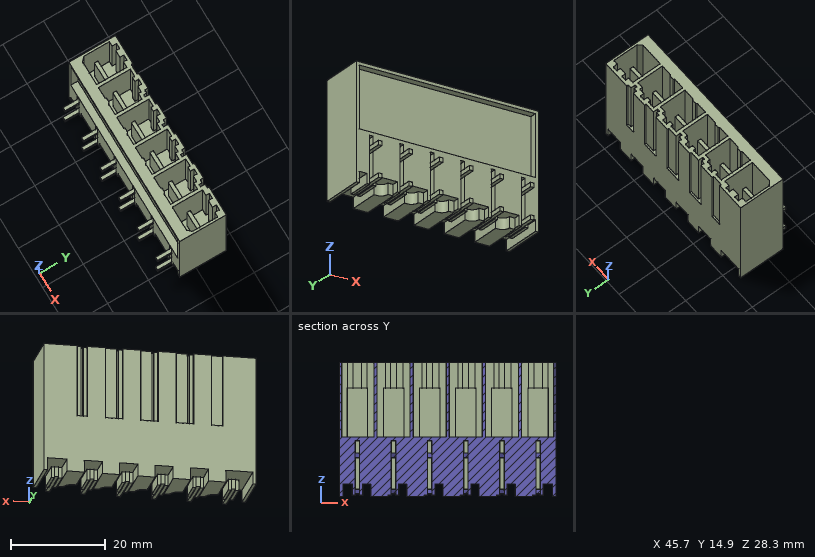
import cadquery as cq


LENGTH = 45.7
DEPTH = 11.48
HEIGHT = 28.3
CONTACT_COUNT = 6
PITCH = LENGTH / CONTACT_COUNT
CONTACT_CENTRES = [(index + 0.5) * PITCH for index in range(CONTACT_COUNT)]

THICKNESS = 0.85
BLADE_WIDTH = 4.35
BLADE_TOP = 22.85
BLADE_FRONT = (DEPTH - THICKNESS) / 2
BLADE_BACK = BLADE_FRONT + THICKNESS
LEG_REACH = 3.45
LEG_HEIGHT = 1.05
LOWER_LEG_BOTTOM = 0.55
LEG_BOTTOMS = (LOWER_LEG_BOTTOM, LOWER_LEG_BOTTOM + PITCH)

CAVITY_FLOOR = 12.57
CAVITY_FRONT = 2.5
PARTITION = 0.75
END_WALL = 0.55
RIB_FACE = 9.8
KEYWAY_WIDTH = 1.25
KEYWAY_BACK = 10.75
CORNER_CHAMFER = 0.85
KEY_HEIGHT = 0.27
KEY_TOP_WIDTH = 1.1
KEY_BASE_WIDTH = 1.4

PANEL_MARGIN = 0.82
PANEL_DEPTH = 1.75
PANEL_BOTTOM = CAVITY_FLOOR
SLOT_TOP = 11.75

UNDERSIDE = 2.65
END_SKIRT = 0.8
CLAMP_WIDTH = 2.3
CLAMP_BOTTOM = 0.27
FOOT_LEFT = -1.05
FOOT_CURVE_LEFT = -0.35
FOOT_RADIUS = 1.7
FOOT_FRONT = 1.6

GROOVE_BOTTOM = CAVITY_FLOOR
SHALLOW_LEFT = -0.45
SHALLOW_RIGHT = 2.0
SHALLOW_DEPTH = 0.4
STEP_LEFT = -1.8
STEP_DEPTH = 0.82
DEEP_LEFT = -1.0
DEEP_DEPTH = 1.55


def box(x0, x1, y0, y1, z0, z1):
    """Box between two opposite corners."""
    return cq.Workplane("XY").box(x1 - x0, y1 - y0, z1 - z0, centered=False).translate((x0, y0, z0))


def centred_box(x, width, y0, y1, z0, z1):
    """Box whose X extent is centred on x."""
    return box(x - width / 2, x + width / 2, y0, y1, z0, z1)


def prism(points, bottom, top):
    """Plan outline extruded between two heights."""
    return cq.Workplane("XY").workplane(offset=bottom).polyline(points).close().extrude(top - bottom)


def end_cavity():
    """First cavity: two keyways at the back and a chamfered outer front corner."""
    left_shoulder = 9.65
    right_shoulder = 9.9
    first_left = 1.7
    first_right = first_left + KEYWAY_WIDTH
    second_left = 4.6
    second_right = second_left + KEYWAY_WIDTH
    right = PITCH - PARTITION / 2
    outline = [
        (END_WALL + CORNER_CHAMFER, CAVITY_FRONT),
        (right, CAVITY_FRONT),
        (right, right_shoulder),
        (second_right, right_shoulder),
        (second_right, KEYWAY_BACK),
        (second_left, KEYWAY_BACK),
        (second_left, RIB_FACE),
        (first_right, RIB_FACE),
        (first_right, KEYWAY_BACK),
        (first_left, KEYWAY_BACK),
        (first_left, left_shoulder),
        (END_WALL, left_shoulder),
        (END_WALL, CAVITY_FRONT + CORNER_CHAMFER),
    ]
    return prism(outline, CAVITY_FLOOR, HEIGHT)


def inner_cavity():
    """Cavity of an inner cell: stepped back wall, one keyway, and a low key on the front wall."""
    left_shoulder = 10.35
    right_shoulder = 9.1
    left_step = 2.15
    right_step = 5.75
    keyway_left = 3.15
    keyway_right = keyway_left + KEYWAY_WIDTH
    left = PARTITION / 2
    right = PITCH - PARTITION / 2
    centre = PITCH / 2
    key_back = CAVITY_FRONT + KEY_HEIGHT
    outline = [
        (left, CAVITY_FRONT),
        (centre - KEY_BASE_WIDTH / 2, CAVITY_FRONT),
        (centre - KEY_TOP_WIDTH / 2, key_back),
        (centre + KEY_TOP_WIDTH / 2, key_back),
        (centre + KEY_BASE_WIDTH / 2, CAVITY_FRONT),
        (right, CAVITY_FRONT),
        (right, right_shoulder),
        (right_step, right_shoulder),
        (right_step, RIB_FACE),
        (keyway_right, RIB_FACE),
        (keyway_right, KEYWAY_BACK),
        (keyway_left, KEYWAY_BACK),
        (keyway_left, RIB_FACE),
        (left_step, RIB_FACE),
        (left_step, left_shoulder),
        (left, left_shoulder),
    ]
    return prism(outline, CAVITY_FLOOR, HEIGHT)


def back_groove(boundary, depth, left, right):
    """Groove in the back face, placed from a cell boundary, open at the top."""
    return box(boundary + left, boundary + right, DEPTH - depth, DEPTH, GROOVE_BOTTOM, HEIGHT)


def cut_back_grooves(body):
    """Shallow groove at every cell boundary, with a stepped deeper part at all but the first."""
    for index in range(1, CONTACT_COUNT):
        boundary = index * PITCH
        is_last = index == CONTACT_COUNT - 1
        shallow_right = -SHALLOW_LEFT if is_last else SHALLOW_RIGHT
        body = body.cut(back_groove(boundary, SHALLOW_DEPTH, SHALLOW_LEFT, shallow_right))
        if index > 1:
            body = body.cut(back_groove(boundary, STEP_DEPTH, STEP_LEFT, DEEP_LEFT))
            body = body.cut(back_groove(boundary, DEEP_DEPTH, DEEP_LEFT, SHALLOW_LEFT))
    return body


def foot(boundary):
    """Foot below a cell boundary; its front steps forward through a concave quarter round."""
    curve_right = FOOT_CURVE_LEFT + FOOT_RADIUS
    right = (PITCH - CLAMP_WIDTH) / 2
    rear_face = FOOT_FRONT + FOOT_RADIUS
    return (
        cq.Workplane("XY")
        .moveTo(FOOT_LEFT, DEPTH)
        .lineTo(FOOT_LEFT, rear_face)
        .lineTo(FOOT_CURVE_LEFT, rear_face)
        .radiusArc((curve_right, FOOT_FRONT), FOOT_RADIUS)
        .lineTo(right, FOOT_FRONT)
        .lineTo(right, DEPTH)
        .close()
        .extrude(UNDERSIDE)
        .translate((boundary, 0, 0))
    )


def make_housing():
    body = box(0, LENGTH, 0, DEPTH, UNDERSIDE, HEIGHT)

    body = body.union(box(0, END_SKIRT, 0, DEPTH, 0, UNDERSIDE))
    body = body.union(box(LENGTH - END_SKIRT, LENGTH, 0, DEPTH, 0, UNDERSIDE))
    for index in range(1, CONTACT_COUNT):
        body = body.union(foot(index * PITCH))
    for centre in CONTACT_CENTRES:
        body = body.union(centred_box(centre, CLAMP_WIDTH, 0, BLADE_BACK, CLAMP_BOTTOM, UNDERSIDE))

    first = end_cavity()
    body = body.cut(first)
    body = body.cut(first.mirror("YZ").translate((LENGTH, 0, 0)))
    for index in range(1, CONTACT_COUNT - 1):
        body = body.cut(inner_cavity().translate((index * PITCH, 0, 0)))

    panel = box(PANEL_MARGIN, LENGTH - PANEL_MARGIN, 0, PANEL_DEPTH, PANEL_BOTTOM, HEIGHT - PANEL_MARGIN)
    body = body.cut(panel)

    for centre in CONTACT_CENTRES:
        body = body.cut(centred_box(centre, THICKNESS, 0, BLADE_BACK, 0, SLOT_TOP))
        body = body.cut(centred_box(centre, THICKNESS, BLADE_FRONT, BLADE_BACK, SLOT_TOP, CAVITY_FLOOR))

    return cut_back_grooves(body)


def make_contact(centre):
    """Wide blade standing on the cavity floor, narrow stem below it, and two solder legs."""
    blade = centred_box(centre, BLADE_WIDTH, BLADE_FRONT, BLADE_BACK, CAVITY_FLOOR, BLADE_TOP)
    stem = centred_box(centre, THICKNESS, BLADE_FRONT, BLADE_BACK, LOWER_LEG_BOTTOM, CAVITY_FLOOR)
    contact = blade.union(stem)
    for bottom in LEG_BOTTOMS:
        leg = centred_box(centre, THICKNESS, -LEG_REACH, BLADE_BACK, bottom, bottom + LEG_HEIGHT)
        contact = contact.union(leg)
    return contact


housing = make_housing()
contacts = [make_contact(centre) for centre in CONTACT_CENTRES]

result = cq.Compound.makeCompound([housing.val(), *[contact.val() for contact in contacts]])